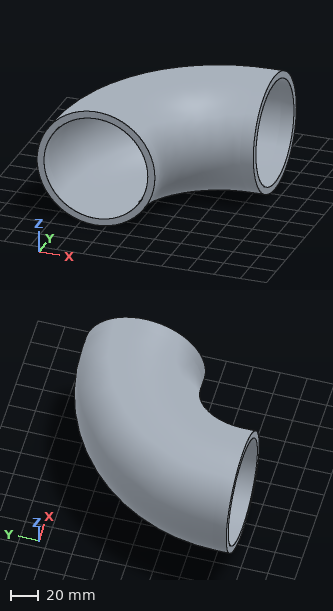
import cadquery as cq

overall_length = 145.0
outer_diameter = 90.0
bore_diameter = 79.2
bend_angle = 90.0

bend_radius = outer_diameter
collar_length = overall_length - bend_radius - outer_diameter / 2


def elbow(diameter):
    """Solid elbow: bend centre on the Z axis at (bend_radius, 0), ends facing -Y and +X."""
    radius = diameter / 2
    front_collar = cq.Workplane("XZ").circle(radius).extrude(collar_length)
    bend = (
        cq.Workplane("XZ")
        .circle(radius)
        .revolve(bend_angle, (bend_radius, 0, 0), (bend_radius, -1, 0))
    )
    side_collar = (
        cq.Workplane("YZ", origin=(bend_radius, bend_radius, 0))
        .circle(radius)
        .extrude(collar_length)
    )
    return front_collar.union(bend).union(side_collar)


result = elbow(outer_diameter).cut(elbow(bore_diameter))